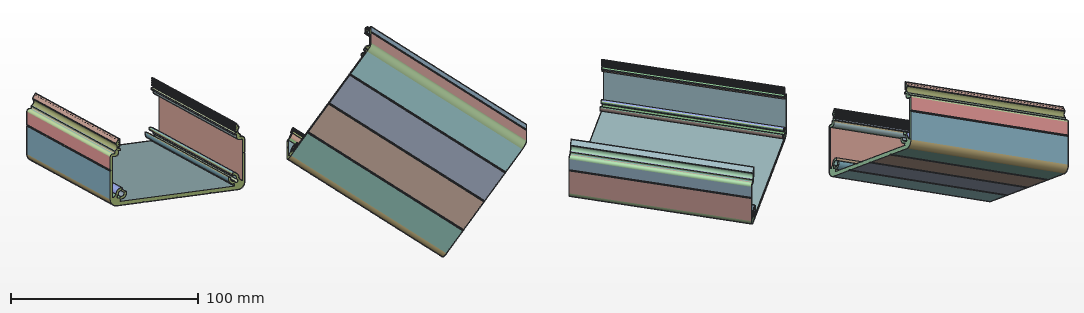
import cadquery as cq
import math

length = 100.0
width = 80.0
height = 37.01
half_width = width / 2

wall = 1.5
floor = 2.25
corner_radius = 4.0
shoulder_z = 29.05
shoulder_radius = 1.6
ceiling_z = 27.5

step_inset = 2.7
step_fillet = 0.35
step_top_z = 30.4
step_chamfer = 0.35
neck_inset = 4.15
neck_z = 32.3
bulge_inset = 3.4
bulge_low_z = 34.1
bulge_high_z = 34.5
tip_outer_inset = 5.0
tip_inner_inset = 5.45
tip_chamfer = 0.2

tooth_count = 4
tooth_pitch = 1.15
tooth_peak_inset = 5.8
tooth_root_inset = 5.15
first_tooth_z = 36.48
tooth_flat = 0.5

rail_back_inset = 5.0
rail_back_z = 32.2
hook_inset = 6.2
hook_root_z = 31.7
hook_top_z = 31.3
hook_bottom_z = 30.5
rail_foot_radius = 2.0

channel_centre = 6.6
channel_outer_radius = 3.1
channel_inner_radius = 1.7
channel_diagonal = 45.0
channel_opening_angle = 58.0
channel_lip_radius = 0.3
relief_centre = 5.1
relief_radius = 0.95

web_ledge_inset = 1.9
web_ledge_z = 4.85
web_top_inset = 3.7
web_top_z = 6.65
web_foot_inset = 6.15

groove_depth = 0.4
groove_half_width = 0.4
side_groove_z = 20.0
floor_groove_spacing = 20.0


def section_plane():
    """YZ plane at the middle of the length."""
    return cq.Workplane("YZ")


def extrude_section(outline):
    return outline.extrude(length / 2, both=True)


def place(inset, z):
    """Section point at a given distance inward from the -Y wall face."""
    return (inset - half_width, z)


def polar_point(centre, radius, angle):
    """Section point on a circle given by its (inset, z) centre, at an angle in degrees."""
    turn = math.radians(angle)
    return place(centre[0] + radius * math.cos(turn), centre[1] + radius * math.sin(turn))


def side_shell():
    """Half of the floor, one wall, its shoulder and the toothed snap rail, as one outline."""
    corner = (corner_radius, corner_radius)
    shoulder = (shoulder_radius, shoulder_z - shoulder_radius)
    step_foot = (step_inset - step_fillet, shoulder_z + step_fillet)
    foot = (rail_back_inset - rail_foot_radius, ceiling_z + rail_foot_radius)

    outline = (
        section_plane()
        .moveTo(0, 0)
        .lineTo(*place(corner_radius, 0))
        .threePointArc(polar_point(corner, corner_radius, 225), place(0, corner_radius))
        .lineTo(*place(0, shoulder[1]))
        .threePointArc(polar_point(shoulder, shoulder_radius, 135), place(shoulder_radius, shoulder_z))
        .lineTo(*place(step_foot[0], shoulder_z))
        .threePointArc(polar_point(step_foot, step_fillet, -45), place(step_inset, step_foot[1]))
        .lineTo(*place(step_inset, step_top_z))
        .lineTo(*place(step_inset + step_chamfer, step_top_z + step_chamfer))
        .threePointArc(place(neck_inset, neck_z), place(bulge_inset, bulge_low_z))
        .lineTo(*place(bulge_inset, bulge_high_z))
        .lineTo(*place(tip_outer_inset, height - tip_chamfer))
        .lineTo(*place(tip_outer_inset + tip_chamfer, height))
        .lineTo(*place(tip_inner_inset, height))
    )
    for index in range(tooth_count):
        peak_z = first_tooth_z - index * tooth_pitch
        outline = outline.lineTo(*place(tooth_peak_inset, peak_z + tooth_flat / 2))
        outline = outline.lineTo(*place(tooth_peak_inset, peak_z - tooth_flat / 2))
        outline = outline.lineTo(*place(tooth_root_inset, peak_z - tooth_pitch / 2))
    outline = (
        outline.lineTo(*place(rail_back_inset, rail_back_z))
        .lineTo(*place(rail_back_inset, hook_root_z))
        .lineTo(*place(hook_inset, hook_top_z))
        .lineTo(*place(hook_inset, hook_bottom_z))
        .lineTo(*place(rail_back_inset, hook_bottom_z))
        .lineTo(*place(rail_back_inset, foot[1]))
        .threePointArc(polar_point(foot, rail_foot_radius, -45), place(foot[0], ceiling_z))
        .lineTo(*place(wall, ceiling_z))
        .lineTo(*place(wall, floor))
        .lineTo(0, floor)
        .close()
    )
    return extrude_section(outline)


def disc(centre, radius):
    """Full-length cylinder centred on the corner diagonal."""
    return extrude_section(section_plane().moveTo(*place(centre, centre)).circle(radius))


def screw_channel():
    """C-shaped channel on its web, open towards the inside and top."""
    web = extrude_section(
        section_plane().polyline(
            [
                place(wall, web_ledge_z),
                place(web_ledge_inset, web_ledge_z),
                place(web_top_inset, web_top_z),
                place(channel_centre, channel_centre),
                place(web_foot_inset, channel_centre),
                place(web_foot_inset, floor),
                place(wall, floor),
            ]
        ).close()
    )
    centre = (channel_centre, channel_centre)
    wedge_length = 2 * channel_outer_radius
    opening = extrude_section(
        section_plane().polyline(
            [
                place(*centre),
                polar_point(centre, wedge_length, channel_diagonal - channel_opening_angle / 2),
                polar_point(centre, wedge_length, channel_diagonal + channel_opening_angle / 2),
            ]
        ).close()
    )
    ring = disc(channel_centre, channel_outer_radius)
    bore = disc(channel_centre, channel_inner_radius)
    relief = disc(relief_centre, relief_radius)
    arms = ring.cut(bore).cut(opening)
    arms = arms.edges("|X").edges(">Y or >Z").fillet(channel_lip_radius)
    base = web.cut(bore)
    return arms.union(base).cut(relief)


def side_groove():
    return extrude_section(
        section_plane().polyline(
            [
                place(0, side_groove_z - groove_half_width),
                place(groove_depth, side_groove_z),
                place(0, side_groove_z + groove_half_width),
            ]
        ).close()
    )


def floor_groove(y):
    return extrude_section(
        section_plane().polyline(
            [
                (y - groove_half_width, 0),
                (y, groove_depth),
                (y + groove_half_width, 0),
            ]
        ).close()
    )


half = side_shell().union(screw_channel()).cut(side_groove())
result = half.union(half.mirror("XZ"))
for step in (-1, 0, 1):
    result = result.cut(floor_groove(step * floor_groove_spacing))